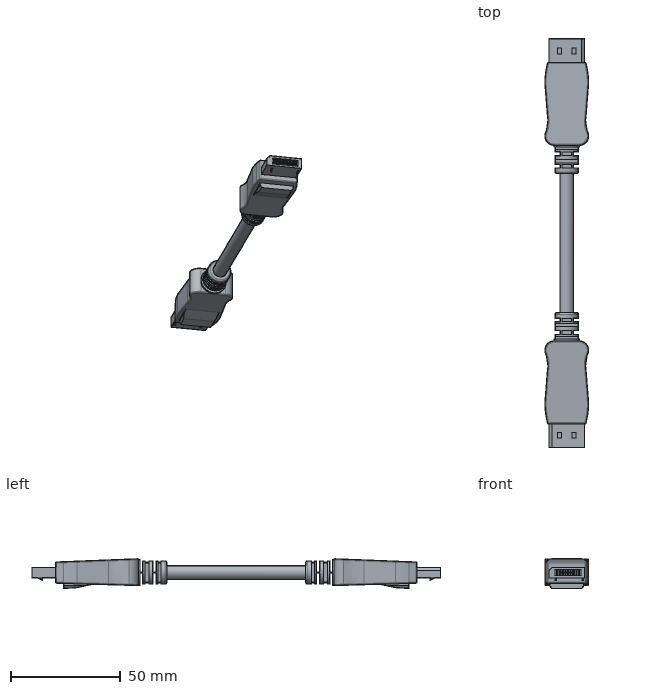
import cadquery as cq


TOTAL_LENGTH = 186.2
HOOD_FRONT = 10.8
HOOD_BACK = 48.6
BOOT_END = 61.5

CORD_DIAMETER = 6.3

SHELL_WIDTH = 16.2
SHELL_HEIGHT = 4.8
SHELL_KEY_CHAMFER = 1.5
WINDOW_WIDTH = 1.9
WINDOW_LENGTH = 2.6
WINDOW_DEPTH = 0.5
WINDOW_OFFSET = 3.4
WINDOW_START = 4.3

CAVITY_WIDTH = 11.7
CAVITY_HEIGHT = 2.8
CAVITY_DEPTH = 7.5
CAVITY_OFFSET = 0.5
CONTACTS_PER_ROW = 10
CONTACT_PITCH = 1.1
CONTACT_WIDTH = 0.5
CONTACT_HEIGHT = 1.1
CONTACT_SETBACK = 0.4

HOOK_POSITIONS = (-5.0, 7.3)
HOOK_WIDTH = 0.5
HOOK_START = 2.6
HOOK_END = 4.8
HOOK_DROP = 1.1

HOOD_MAX_WIDTH = 20.0
HOOD_FRONT_WIDTH = 17.5
HOOD_GRIP_WIDTH = 17.7
HOOD_SHOULDER = 14.5
HOOD_SHOULDER_WIDTH = 19.0
HOOD_CHEEK = 17.5
HOOD_CHEEK_WIDTH = 19.7
HOOD_BULGE = 20.7
HOOD_GRIP_END = 34.8
HOOD_WAIST = 37.2
HOOD_WAIST_WIDTH = 17.1
HOOD_FLARE = 41.9
HOOD_FLARE_WIDTH = 18.6
HOOD_HEEL = 44.3
HOOD_FRONT_HALF_HEIGHT = 4.8
HOOD_BACK_TOP = 6.3
HOOD_BACK_BOTTOM = -6.0
HOOD_EDGE = 0.5

BUTTON_FRONT = 14.5
BUTTON_BEND = 20.5
BUTTON_BACK = 29.8
BUTTON_BOTTOM = -7.3
BUTTON_BEND_BOTTOM = -6.9
BUTTON_HALF_WIDTH = 7.8
BUTTON_BOTTOM_HALF_WIDTH = 6.9

BOOT_DIAMETER = 10.6
COLLAR_DIAMETER = 11.7
COLLAR_END = 49.4
BOOT_END_ROUND = 0.7
FLAT_WEB_HEIGHT = 0.5
UPRIGHT_WEB_WIDTH = 6.0
UPRIGHT_WEB_HEIGHT = 9.7
FLAT_SLOTS = ((49.4, 50.5), (55.1, 56.6))
UPRIGHT_SLOTS = ((51.5, 53.3), (57.4, 58.8))


def station(distance):
    """Y of a point at the given distance from the tip of the -Y plug."""
    return distance - TOTAL_LENGTH / 2


def block(x_range, length_range, z_range):
    """Rectangular block, with its Y range given as distances from the tip."""
    size = [end - start for start, end in (x_range, length_range, z_range)]
    corner = (x_range[0], station(length_range[0]), z_range[0])
    return cq.Workplane("XY").box(*size, centered=False).translate(corner)


def side_prism(points, x_centre, width):
    """Prism along X from an outline of (distance from tip, Z) points."""
    outline = [(station(distance), z) for distance, z in points]
    prism = cq.Workplane("YZ").polyline(outline).close().extrude(width / 2, both=True)
    return prism.translate((x_centre, 0, 0))


def make_shell():
    """Keyed metal shell with its contact cavity, windows and latch hooks."""
    half_width = SHELL_WIDTH / 2
    half_height = SHELL_HEIGHT / 2
    shell = block((-half_width, half_width), (0, HOOD_FRONT), (-half_height, half_height))
    shell = shell.edges("|Y and <X and >Z").chamfer(SHELL_KEY_CHAMFER)

    cavity_left = CAVITY_OFFSET - CAVITY_WIDTH / 2
    cavity_top = CAVITY_HEIGHT / 2
    shell = shell.cut(
        block((cavity_left, cavity_left + CAVITY_WIDTH), (0, CAVITY_DEPTH), (-cavity_top, cavity_top))
    )
    for index in range(CONTACTS_PER_ROW):
        x = CAVITY_OFFSET + (index - (CONTACTS_PER_ROW - 1) / 2) * CONTACT_PITCH
        x_range = (x - CONTACT_WIDTH / 2, x + CONTACT_WIDTH / 2)
        length_range = (CONTACT_SETBACK, CAVITY_DEPTH)
        shell = shell.union(block(x_range, length_range, (cavity_top - CONTACT_HEIGHT, cavity_top)))
        shell = shell.union(block(x_range, length_range, (-cavity_top, CONTACT_HEIGHT - cavity_top)))

    for x in (-WINDOW_OFFSET, WINDOW_OFFSET):
        shell = shell.cut(
            block(
                (x - WINDOW_WIDTH / 2, x + WINDOW_WIDTH / 2),
                (WINDOW_START, WINDOW_START + WINDOW_LENGTH),
                (half_height - WINDOW_DEPTH, half_height),
            )
        )

    hook_outline = [
        (HOOK_START, -half_height),
        (HOOK_END, -half_height),
        (HOOK_END, -half_height - HOOK_DROP),
    ]
    for x in HOOK_POSITIONS:
        shell = shell.union(side_prism(hook_outline, x, HOOK_WIDTH))
    return shell


def make_hood():
    """Waisted hood, growing taller towards the cord, with rounded top, bottom and front edges."""
    corner_radius = HOOD_BACK - HOOD_HEEL
    grip_direction = ((HOOD_GRIP_WIDTH - HOOD_MAX_WIDTH) / 2, HOOD_GRIP_END - HOOD_BULGE)
    plan = (
        cq.Workplane("XY", origin=(0, 0, HOOD_BACK_BOTTOM))
        .moveTo(0, station(HOOD_FRONT))
        .lineTo(HOOD_FRONT_WIDTH / 2, station(HOOD_FRONT))
        .lineTo(HOOD_SHOULDER_WIDTH / 2, station(HOOD_SHOULDER))
        .threePointArc(
            (HOOD_CHEEK_WIDTH / 2, station(HOOD_CHEEK)),
            (HOOD_MAX_WIDTH / 2, station(HOOD_BULGE)),
        )
        .lineTo(HOOD_GRIP_WIDTH / 2, station(HOOD_GRIP_END))
        .spline(
            [
                (HOOD_WAIST_WIDTH / 2, station(HOOD_WAIST)),
                (HOOD_FLARE_WIDTH / 2, station(HOOD_FLARE)),
                (HOOD_MAX_WIDTH / 2, station(HOOD_HEEL)),
            ],
            tangents=[grip_direction, (0, 1)],
            includeCurrent=True,
        )
        .radiusArc((HOOD_MAX_WIDTH / 2 - corner_radius, station(HOOD_BACK)), -corner_radius)
        .lineTo(0, station(HOOD_BACK))
        .mirrorY()
        .extrude(HOOD_BACK_TOP - HOOD_BACK_BOTTOM)
    )
    profile = [
        (HOOD_FRONT, -HOOD_FRONT_HALF_HEIGHT),
        (HOOD_BACK, HOOD_BACK_BOTTOM),
        (HOOD_BACK, HOOD_BACK_TOP),
        (HOOD_FRONT, HOOD_FRONT_HALF_HEIGHT),
    ]
    hood = plan.intersect(side_prism(profile, 0, 2 * HOOD_MAX_WIDTH))
    return hood.faces(">Z or <Z or <Y").edges().fillet(HOOD_EDGE)


def make_button():
    """Wedge-shaped release button on the underside of the hood."""
    outline = [
        (BUTTON_FRONT, 0),
        (BUTTON_FRONT, BUTTON_BOTTOM),
        (BUTTON_BEND, BUTTON_BEND_BOTTOM),
        (BUTTON_BACK, -HOOD_FRONT_HALF_HEIGHT),
        (BUTTON_BACK, 0),
    ]
    cross_section = [
        (-BUTTON_HALF_WIDTH, 0),
        (-BUTTON_HALF_WIDTH, HOOD_BACK_BOTTOM),
        (-BUTTON_BOTTOM_HALF_WIDTH, BUTTON_BOTTOM),
        (BUTTON_BOTTOM_HALF_WIDTH, BUTTON_BOTTOM),
        (BUTTON_HALF_WIDTH, HOOD_BACK_BOTTOM),
        (BUTTON_HALF_WIDTH, 0),
    ]
    bar = cq.Workplane("XZ").polyline(cross_section).close().extrude(TOTAL_LENGTH)
    return side_prism(outline, 0, 2 * BUTTON_HALF_WIDTH).intersect(bar)


def boot_cylinder(diameter, start, end):
    """Round bar on the cord axis between two distances from the tip."""
    bar = cq.Workplane("XZ").circle(diameter / 2).extrude(start - end)
    return bar.translate((0, station(start), 0))


def make_boot():
    """Round boot cut from alternate sides into discs joined by flat and upright webs."""
    boot = boot_cylinder(BOOT_DIAMETER, HOOD_BACK, BOOT_END).faces(">Y").edges().fillet(BOOT_END_ROUND)
    boot = boot.union(boot_cylinder(COLLAR_DIAMETER, HOOD_BACK, COLLAR_END))
    reach = COLLAR_DIAMETER
    for side in (-1, 1):
        for slot in FLAT_SLOTS:
            z_range = sorted((side * FLAT_WEB_HEIGHT / 2, side * reach))
            boot = boot.cut(block((-reach, reach), slot, z_range))
        for slot in UPRIGHT_SLOTS:
            x_range = sorted((side * UPRIGHT_WEB_WIDTH / 2, side * reach))
            z_range = sorted((side * UPRIGHT_WEB_HEIGHT / 2, side * reach))
            boot = boot.cut(block(x_range, slot, (-reach, reach)))
            boot = boot.cut(block((-reach, reach), slot, z_range))
    return boot


def make_plug():
    """One complete plug at the -Y end."""
    return make_hood().union(make_button()).union(make_shell()).union(make_boot())


def make_cord():
    """Cord whose ends butt against the two boots."""
    return boot_cylinder(CORD_DIAMETER, BOOT_END, TOTAL_LENGTH - BOOT_END)


plug = make_plug()
plugs = [plug.rotate((0, 0, 0), (0, 0, 1), turn) for turn in (0, 180)]
cord = make_cord()

result = cq.Compound.makeCompound([cord.val(), *[body.solids().val() for body in plugs]])